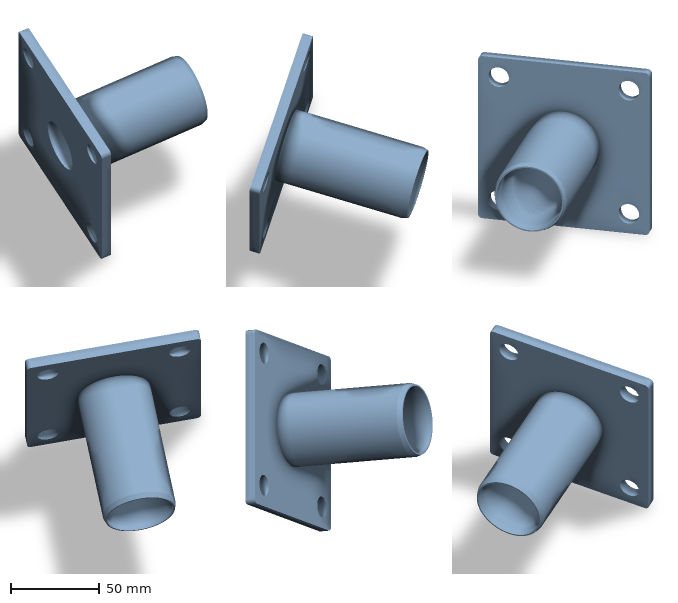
import cadquery as cq

plate_side = 100.0
plate_thickness = 6.0
corner_radius = 2.5
bolt_hole_diameter = 12.0
bolt_spacing = 76.0

overall_depth = 84.0
tube_diameter = 42.0
plate_hole_diameter = 29.6
tube_bore_diameter = 38.3
chamfer_length = 3.0
chamfer_inset = 1.0


def make_plate():
    """Rounded square plate with four bolt holes."""
    blank = cq.Workplane("XZ").rect(plate_side, plate_side).extrude(-plate_thickness)
    rounded = blank.edges("|Y").fillet(corner_radius)
    bolt_holes = (
        cq.Workplane("XZ")
        .rect(bolt_spacing, bolt_spacing, forConstruction=True)
        .vertices()
        .circle(bolt_hole_diameter / 2)
        .extrude(-plate_thickness)
    )
    return rounded.cut(bolt_holes)


def make_tube():
    """Solid of revolution about Y, with a tapered outer rim at its free end."""
    radius = tube_diameter / 2
    profile = [
        (0, 0),
        (radius, 0),
        (radius, overall_depth - chamfer_length),
        (radius - chamfer_inset, overall_depth),
        (0, overall_depth),
    ]
    return cq.Workplane("XY").polyline(profile).close().revolve(360, (0, 0, 0), (0, 1, 0))


tube_bore = (
    cq.Workplane("XZ", origin=(0, plate_thickness, 0))
    .circle(tube_bore_diameter / 2)
    .extrude(plate_thickness - overall_depth)
)
plate_hole = cq.Workplane("XZ").circle(plate_hole_diameter / 2).extrude(-plate_thickness)

result = make_plate().union(make_tube()).cut(tube_bore).cut(plate_hole)